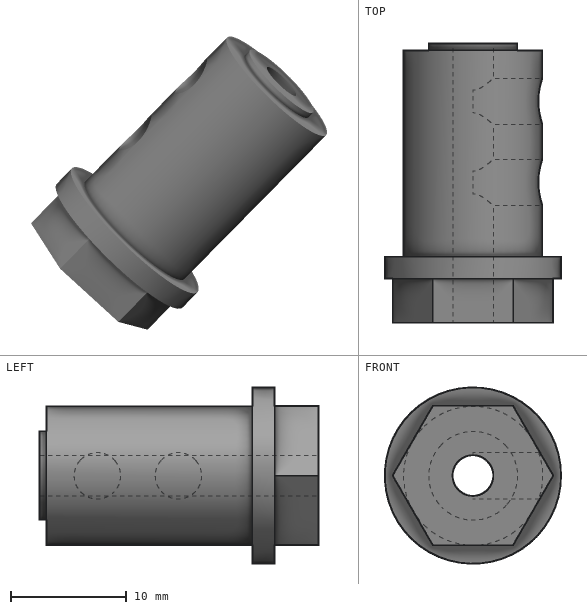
import cadquery as cq
import math

total_length = 24.13
hex_length = 3.81
flange_length = 1.9
tip_length = 0.6
body_length = total_length - hex_length - flange_length - tip_length

flange_diameter = 15.25
body_diameter = 12.02
tip_diameter = 7.67
bore_diameter = 3.5
hex_across_flats = body_diameter
hex_across_corners = hex_across_flats / math.cos(math.radians(30))

screw_hole_diameter = 4.0
screw_hole_spacing = 7.0
outer_hole_from_body_end = 4.4

flange_start = hex_length
body_start = flange_start + flange_length
body_end = body_start + body_length


def section_plane(y):
    """Plane at the given Y whose extrusions run toward +Y."""
    return cq.Workplane(cq.Plane(origin=(0, y, 0), xDir=(1, 0, 0), normal=(0, 1, 0)))


def round_section(start, length, diameter):
    return section_plane(start).circle(diameter / 2).extrude(length)


def screw_hole(y):
    """Hole running from the central axis out through the +X wall."""
    return cq.Workplane("YZ").center(y, 0).circle(screw_hole_diameter / 2).extrude(body_diameter)


result = section_plane(0).polygon(6, hex_across_corners).extrude(hex_length)
result = result.union(round_section(flange_start, flange_length, flange_diameter))
result = result.union(round_section(body_start, body_length, body_diameter))
result = result.union(round_section(body_end, tip_length, tip_diameter))

result = result.cut(round_section(0, total_length, bore_diameter))

outer_hole_y = body_end - outer_hole_from_body_end
for hole_y in (outer_hole_y, outer_hole_y - screw_hole_spacing):
    result = result.cut(screw_hole(hole_y))